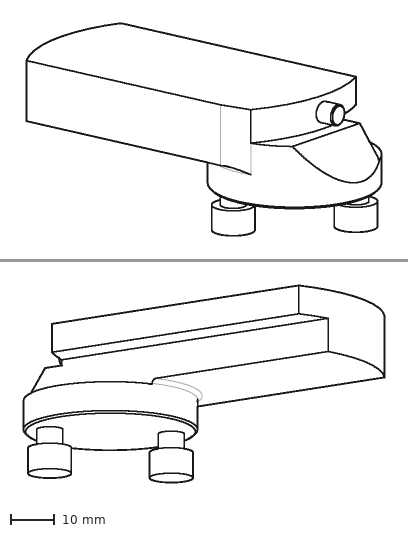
import cadquery as cq
import math

base_radius = 20.0
base_chamfer = 0.5
ledge_height = 7.3
wedge_height = 15.0
slope_start_x = 12.2
slope_end_height = 4.5

arm_round_radius = 38.5
arm_center_x = -30.0
arm_front_y = -21.0
arm_back_y = 16.5
arm_bottom = 8.5
arm_top = 23.0

rebate_y = 8.75
rebate_ceiling = 16.3

flare_radius = 1.0

pin_diameter = 5.0
pin_end_x = 13.0
pin_height = 19.0
pin_chamfer = 0.3
pin_length = 10.0

screw_diameter = 6.0
screw_head_diameter = 10.0
screw_head_height = 6.0
screw_exposed_shank = 4.33
screw_length = 12.0
screw_tip_radius_drop = 0.5
screw_tip_length = 1.0
screw_offset = 10.0
screw_positions = [(screw_offset, screw_offset), (-screw_offset, -screw_offset)]

touch_x = (base_radius**2 - arm_round_radius**2 + arm_center_x**2) / (2 * arm_center_x)
touch_y = -math.sqrt(base_radius**2 - touch_x**2)
tangent_start_x = (base_radius**2 - touch_y * arm_front_y) / touch_x


def cylinder(radius, bottom, top):
    return cq.Workplane("XY").workplane(offset=bottom).circle(radius).extrude(top - bottom)


def wide_box(y_min, y_max, z_min, z_max):
    """Box long enough in X to span the whole part."""
    half_length = arm_round_radius + abs(arm_center_x)
    return (
        cq.Workplane("XY")
        .workplane(offset=z_min)
        .moveTo(-half_length, y_min)
        .lineTo(half_length, y_min)
        .lineTo(half_length, y_max)
        .lineTo(-half_length, y_max)
        .close()
        .extrude(z_max - z_min)
    )


def arm_prism(bottom, top):
    """Arm outline extruded between two heights."""
    back_half_length = math.sqrt(arm_round_radius**2 - arm_back_y**2)
    front_half_length = math.sqrt(arm_round_radius**2 - arm_front_y**2)
    return (
        cq.Workplane("XY")
        .workplane(offset=bottom)
        .moveTo(arm_center_x - front_half_length, arm_front_y)
        .lineTo(tangent_start_x, arm_front_y)
        .lineTo(touch_x, touch_y)
        .threePointArc((arm_center_x + arm_round_radius, 0), (arm_center_x + back_half_length, arm_back_y))
        .lineTo(arm_center_x - back_half_length, arm_back_y)
        .threePointArc((arm_center_x - arm_round_radius, 0), (arm_center_x - front_half_length, arm_front_y))
        .close()
        .extrude(top - bottom)
    )


def make_base():
    """Stepped disc whose high part slopes down towards +X."""
    base = cylinder(base_radius, 0, wedge_height).faces("<Z").chamfer(base_chamfer)
    base = base.cut(wide_box(rebate_y, base_radius, ledge_height, wedge_height))
    slope_waste = (
        cq.Workplane("XZ")
        .polyline([
            (slope_start_x, wedge_height),
            (base_radius, slope_end_height),
            (base_radius, wedge_height),
        ])
        .close()
        .extrude(base_radius, both=True)
    )
    return base.cut(slope_waste)


def make_arm():
    arm = arm_prism(arm_bottom, arm_top)
    return arm.cut(wide_box(rebate_y, arm_back_y, arm_bottom, rebate_ceiling))


def make_flare():
    """Ring with a concave outer face, kept inside the arm outline and in front of the rebate."""
    flare_bottom = arm_bottom - flare_radius
    flare_rim = base_radius + flare_radius
    mid_inset = flare_radius * math.sqrt(0.5)
    ring = (
        cq.Workplane("XZ")
        .moveTo(0, flare_bottom)
        .lineTo(base_radius, flare_bottom)
        .threePointArc(
            (flare_rim - mid_inset, flare_bottom + mid_inset),
            (flare_rim, arm_bottom),
        )
        .lineTo(0, arm_bottom)
        .close()
        .revolve(360, (0, 0, 0), (0, 1, 0))
    )
    front = wide_box(arm_front_y, rebate_y, flare_bottom, arm_bottom)
    return ring.intersect(arm_prism(flare_bottom, arm_bottom)).intersect(front)


def make_pin():
    return (
        cq.Workplane("YZ")
        .workplane(offset=pin_end_x - pin_length)
        .center(0, pin_height)
        .circle(pin_diameter / 2)
        .extrude(pin_length)
        .faces(">X")
        .chamfer(pin_chamfer)
    )


def make_screw():
    """Cap screw on the Z axis, head down, with a tapered tip."""
    shank_bottom = -screw_exposed_shank
    tip_top = shank_bottom + screw_length
    shank = cylinder(screw_diameter / 2, shank_bottom, tip_top)
    shank = shank.faces(">Z").chamfer(screw_tip_length, screw_tip_radius_drop)
    head = cylinder(screw_head_diameter / 2, shank_bottom - screw_head_height, shank_bottom)
    return shank.union(head)


result = make_base().union(make_arm()).union(make_flare()).union(make_pin())
for x, y in screw_positions:
    result = result.union(make_screw().translate((x, y, 0)))